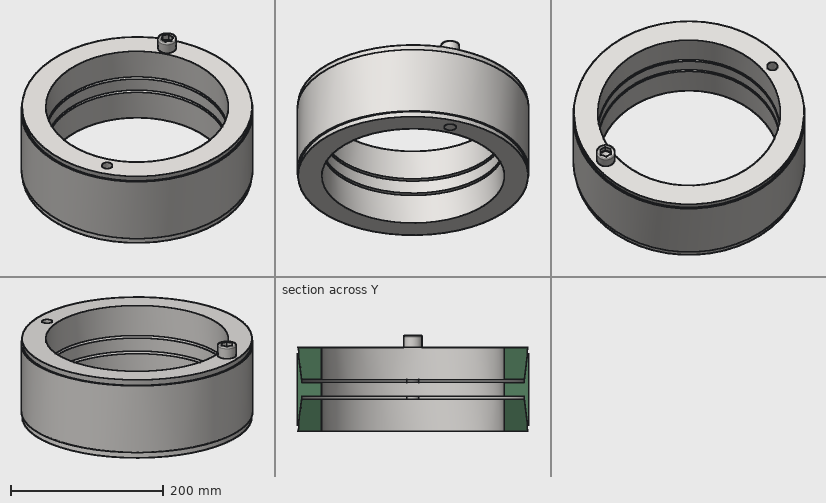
import cadquery as cq
import math

sleeve_diameter = 305
bore_diameter = 240.0
stack_height = 110.0
sleeve_height = 94.0
rib_height = 18.3
gap = 3.7
ring_outer_diameter = 302.5
ring_taper = 7

bolt_circle_radius = 133.5
head_diameter = 24.0
head_height = 16.0
head_fillet = 1.5
shank_diameter = 16.0
socket_flats = 14.0
socket_depth = 8.5
socket_tip_angle = 120
hole_diameter = 13.7

bore_radius = bore_diameter / 2
ring_face_z = stack_height / 2
ring_inner_z = rib_height / 2 + gap
ring_length = ring_face_z - ring_inner_z
taper_slope = math.tan(math.radians(ring_taper))


def cone_radius(z):
    """Radius of the tapered seat at height z above the middle plane."""
    return ring_outer_diameter / 2 - (ring_face_z - z) * taper_slope


def at_bolt(side, z):
    """Workplane at height z on the bolt circle, on the +Y or -Y side."""
    return cq.Workplane("XY", origin=(0, side * bolt_circle_radius, z))


def shank_cylinder():
    """Screw shank, through both clamp rings and the rib."""
    return at_bolt(1, -ring_face_z).circle(shank_diameter / 2).extrude(stack_height)


def make_sleeve():
    """Outer sleeve with a tapered seat at each end and a rib between the seats."""
    rib_z = rib_height / 2
    edge_z = sleeve_height / 2
    seat_root = cone_radius(ring_inner_z)
    seat_mouth = cone_radius(edge_z)
    profile = [
        (bore_radius, -rib_z),
        (seat_root, -rib_z),
        (seat_root, -ring_inner_z),
        (seat_mouth, -edge_z),
        (sleeve_diameter / 2, -edge_z),
        (sleeve_diameter / 2, edge_z),
        (seat_mouth, edge_z),
        (seat_root, ring_inner_z),
        (seat_root, rib_z),
        (bore_radius, rib_z),
    ]
    body = cq.Workplane("XZ").polyline(profile).close().revolve(360, (0, 0), (0, 1))
    return body.cut(shank_cylinder())


def make_clamp_ring(side):
    """Tapered clamp ring above (side = 1) or below (side = -1) the rib."""
    profile = [
        (bore_radius, side * ring_inner_z),
        (cone_radius(ring_inner_z), side * ring_inner_z),
        (cone_radius(ring_face_z), side * ring_face_z),
        (bore_radius, side * ring_face_z),
    ]
    body = cq.Workplane("XZ").polyline(profile).close().revolve(360, (0, 0), (0, 1))
    return body.cut(shank_cylinder())


def cut_open_hole(ring):
    """Hole through the upper clamp ring, opposite the screw."""
    hole = at_bolt(-1, ring_inner_z).circle(hole_diameter / 2).extrude(ring_length)
    return ring.cut(hole)


def make_screw():
    """Socket head screw standing on the upper clamp ring."""
    head = at_bolt(1, ring_face_z).circle(head_diameter / 2).extrude(head_height)
    head = head.faces(">Z").edges().fillet(head_fillet)
    return cut_socket(head.union(shank_cylinder()))


def cut_socket(screw):
    """Hexagonal socket with corners on the Y axis and a conical floor."""
    corner_radius = socket_flats / math.sqrt(3)
    tip_depth = corner_radius / math.tan(math.radians(socket_tip_angle / 2))
    floor_z = ring_face_z + head_height - socket_depth
    hexagon = (
        at_bolt(1, floor_z)
        .transformed(rotate=(0, 0, 90))
        .polygon(6, 2 * corner_radius)
        .extrude(socket_depth + tip_depth)
    )
    cone = cq.Solid.makeCone(
        corner_radius, 0, tip_depth,
        pnt=cq.Vector(0, bolt_circle_radius, floor_z), dir=cq.Vector(0, 0, -1),
    )
    return screw.cut(hexagon).cut(cq.Workplane(cone))


sleeve = make_sleeve()
upper_ring = cut_open_hole(make_clamp_ring(1))
lower_ring = make_clamp_ring(-1)
screw = make_screw()

result = cq.Compound.makeCompound(
    [sleeve.val(), upper_ring.val(), lower_ring.val(), screw.val()]
)